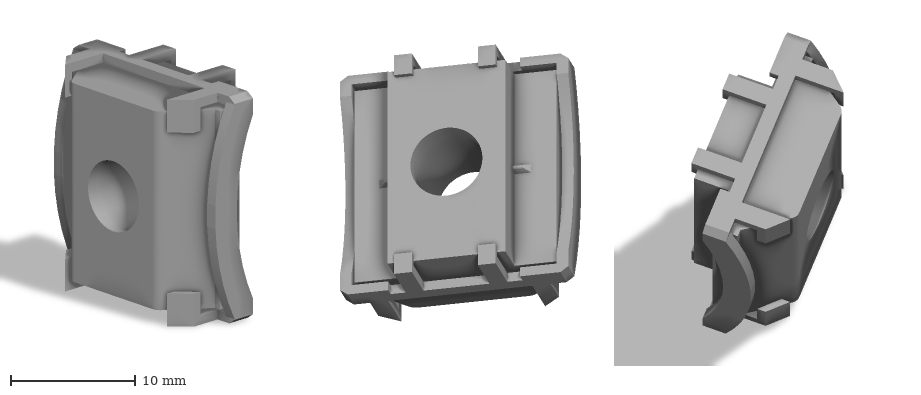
import cadquery as cq
import math

nut_length = 16.9
nut_half_width = 8.4
nut_flange_front_y = 3.88
nut_shoulder_y = 6.05
nut_back_y = 9.0
stem_half_width = 4.9
flange_flat_width = 0.58
flank_angle = 54.5
front_edge_radius = 0.85
hole_diameter = 5.98

pip_height = 0.58
pip_base_half_width = 0.37
pip_tip_half_width = 0.17
pip_crest_rise = 0.12
pip_crest_end_x = 5.73

clip_length = 19.3
clip_half_width = 9.5
plate_thickness = 0.8
plate_front_y = 4.45
plate_back_y = 6.5
corner_chamfer_x = 0.65
corner_chamfer_z = 0.46

notch_half_width = 5.48
crossbar_back_y = 5.71

prong_inner_x = 2.75
prong_outer_x = 4.23
prong_lip_thickness = 0.5
prong_lip_reach = 1.75

hook_inner_x = 5.98
hook_outer_x = 7.5
hook_bevel_y = 1.81
hook_depth = 0.73
hook_reach = 2.8

spring_thickness = 0.96
spring_axis_y = 22.81
spring_back_radius = 18.1
spring_front_radius = 20.5
spring_crest_half_length = 0.98

half_length = clip_length / 2


def box_between(x_range, y_range, z_range):
    """Box spanning three (low, high) ranges."""
    sizes = [high - low for low, high in (x_range, y_range, z_range)]
    corner = (x_range[0], y_range[0], z_range[0])
    return cq.Workplane("XY").box(*sizes, centered=False).translate(corner)


def with_mirror(shape, plane):
    """The shape united with its mirror image."""
    return shape.union(shape.mirror(plane))


def nut_pip():
    """Tapered ridge on the -X shoulder, sunk into the stem, with a 45 degree sloped end."""
    crest_y = nut_shoulder_y + pip_height
    crest_start_y = crest_y - pip_crest_rise
    ridge = (
        cq.Workplane("YZ")
        .moveTo(nut_shoulder_y, -pip_base_half_width)
        .lineTo(crest_start_y, -pip_tip_half_width)
        .threePointArc((crest_y, 0), (crest_start_y, pip_tip_half_width))
        .lineTo(nut_shoulder_y, pip_base_half_width)
        .close()
        .extrude(-(pip_crest_end_x + pip_height))
    )
    envelope = (
        cq.Workplane("XY")
        .polyline([
            (-stem_half_width, nut_shoulder_y),
            (-stem_half_width, crest_y),
            (-pip_crest_end_x, crest_y),
            (-pip_crest_end_x - pip_height, nut_shoulder_y),
        ])
        .close()
        .extrude(pip_base_half_width, both=True)
    )
    return ridge.intersect(envelope)


def make_nut():
    flank_outer_x = nut_half_width - flange_flat_width
    flank_foot_x = flank_outer_x - nut_flange_front_y / math.tan(math.radians(flank_angle))
    half_outline = [
        (0, 0),
        (flank_foot_x, 0),
        (flank_outer_x, nut_flange_front_y),
        (nut_half_width, nut_flange_front_y),
        (nut_half_width, nut_shoulder_y),
        (stem_half_width, nut_shoulder_y),
        (stem_half_width, nut_back_y),
        (0, nut_back_y),
    ]
    half = cq.Workplane("XY").polyline(half_outline).close().extrude(nut_length / 2, both=True)
    body = with_mirror(half, "YZ")
    body = body.faces("<Y").edges("|Z").fillet(front_edge_radius)
    hole = cq.Workplane("XZ").circle(hole_diameter / 2).extrude(-nut_back_y)
    return body.cut(hole).union(with_mirror(nut_pip(), "YZ"))


def end_plate():
    """Upper end plate: chamfered strip with a notch in its back edge."""
    plate = (
        cq.Workplane("XZ")
        .polyline([
            (-clip_half_width, half_length - plate_thickness),
            (-clip_half_width, half_length - corner_chamfer_z),
            (-clip_half_width + corner_chamfer_x, half_length),
            (clip_half_width - corner_chamfer_x, half_length),
            (clip_half_width, half_length - corner_chamfer_z),
            (clip_half_width, half_length - plate_thickness),
        ])
        .close()
        .extrude(plate_front_y - plate_back_y)
        .translate((0, plate_front_y, 0))
    )
    notch = box_between(
        (-notch_half_width, notch_half_width),
        (crossbar_back_y, plate_back_y),
        (half_length - plate_thickness, half_length),
    )
    return plate.cut(notch)


def prong():
    """Upper prong on the +X side: an arm running back, with a lip turned over the nut."""
    width = (prong_inner_x, prong_outer_x)
    tip_y = nut_back_y + prong_lip_thickness
    arm = box_between(width, (crossbar_back_y, tip_y), (half_length - plate_thickness, half_length))
    lip = box_between(width, (nut_back_y, tip_y), (half_length - prong_lip_reach, half_length))
    return arm.union(lip)


def hook():
    """Upper hook on the +X side: an arm running forward, with a bevelled lip along the flank."""
    bevel_tip_y = hook_bevel_y - (hook_outer_x - hook_inner_x)
    arm = (
        cq.Workplane("XY", origin=(0, 0, half_length))
        .polyline([
            (hook_inner_x, plate_front_y),
            (hook_inner_x, bevel_tip_y),
            (hook_outer_x, hook_bevel_y),
            (hook_outer_x, plate_front_y),
        ])
        .close()
        .extrude(-plate_thickness)
    )
    lip = (
        cq.Workplane("XY", origin=(0, 0, half_length))
        .polyline([
            (hook_inner_x, bevel_tip_y + hook_depth),
            (hook_inner_x, bevel_tip_y),
            (hook_outer_x, hook_bevel_y),
            (hook_outer_x, hook_bevel_y + hook_depth),
        ])
        .close()
        .extrude(-hook_reach)
    )
    return arm.union(lip)


def side_spring():
    """Bowed strip on the +X side, between two arcs about one axis, with a flat crest."""
    spring_end_z = half_length - corner_chamfer_z
    front_end_z = math.sqrt(spring_front_radius**2 - (spring_axis_y - plate_front_y) ** 2)
    back_end_z = math.sqrt(spring_back_radius**2 - (spring_axis_y - plate_back_y) ** 2)
    crest_half_z = spring_crest_half_length
    crest_y = spring_axis_y - math.sqrt(spring_front_radius**2 - crest_half_z**2)
    arc_middle_z = (crest_half_z + front_end_z) / 2
    arc_middle_y = spring_axis_y - math.sqrt(spring_front_radius**2 - arc_middle_z**2)
    return (
        cq.Workplane("YZ", origin=(clip_half_width - spring_thickness, 0, 0))
        .moveTo(plate_back_y, back_end_z)
        .lineTo(plate_back_y, spring_end_z)
        .lineTo(plate_front_y, spring_end_z)
        .lineTo(plate_front_y, front_end_z)
        .threePointArc((arc_middle_y, arc_middle_z), (crest_y, crest_half_z))
        .lineTo(crest_y, -crest_half_z)
        .threePointArc((arc_middle_y, -arc_middle_z), (plate_front_y, -front_end_z))
        .lineTo(plate_front_y, -spring_end_z)
        .lineTo(plate_back_y, -spring_end_z)
        .lineTo(plate_back_y, -back_end_z)
        .threePointArc((spring_axis_y - spring_back_radius, 0), (plate_back_y, back_end_z))
        .close()
        .extrude(spring_thickness)
    )


def make_clip():
    fingers = with_mirror(prong().union(hook()), "YZ")
    ends = with_mirror(end_plate().union(fingers), "XY")
    return ends.union(with_mirror(side_spring(), "YZ"))


nut = make_nut()
clip = make_clip()

result = cq.Compound.makeCompound([nut.val(), clip.val()])